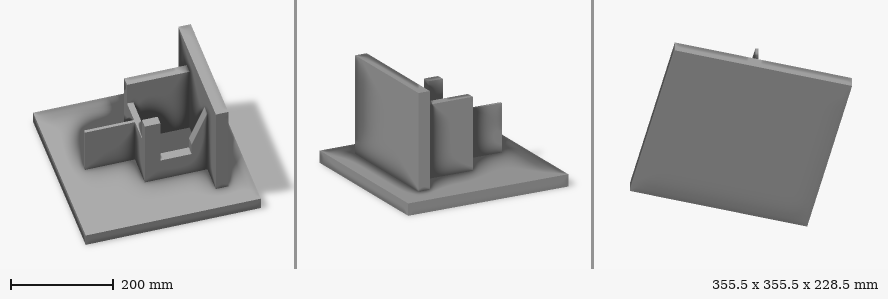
import cadquery as cq

base_side = 355.5
module = base_side / 14

base_thickness = module
wall_width = 10 * module
wall_thickness = module
wall_height = 8 * module
wall_inset = 2 * module

pocket_width = 4 * module
arm_thickness = 0.75 * module
arm_length = 5 * module
arm_height = 6 * module

panel_thickness = 0.5 * module
panel_height = 4 * module

fin_thickness = 0.25 * module
fin_length = 4 * module
fin_height = 4 * module

notch_margin = 1.25 * module
notch_floor = 2 * module
slope_foot = 3 * module

wall_front = base_side / 2 - wall_inset - wall_thickness
arm_front = wall_front - arm_length
arm_offset = (pocket_width + arm_thickness) / 2


def standing_block(width, length, height, front, center_x=0):
    """Block on top of the base, with its front face at the given Y."""
    block = cq.Workplane("XY").box(width, length, height, centered=(True, False, False))
    return block.translate((center_x, front, 0))


def notched_arm():
    """Right arm: front post, low notch and a steep slope rising to the wall."""
    post_back = arm_front + notch_margin
    slope_front = wall_front - notch_margin
    profile = [
        (arm_front, 0),
        (wall_front, 0),
        (wall_front, arm_height),
        (slope_front, slope_foot),
        (slope_front, notch_floor),
        (post_back, notch_floor),
        (post_back, arm_height),
        (arm_front, arm_height),
    ]
    arm = cq.Workplane("YZ").polyline(profile).close().extrude(arm_thickness)
    return arm.translate((pocket_width / 2, 0, 0))


base = cq.Workplane("XY").box(base_side, base_side, base_thickness, centered=(True, True, False))
base = base.translate((0, 0, -base_thickness))

wall = standing_block(wall_width, wall_thickness, wall_height, wall_front)
plain_arm = standing_block(arm_thickness, arm_length, arm_height, arm_front, -arm_offset)
front_panel = standing_block(pocket_width, panel_thickness, panel_height, arm_front)
fin = standing_block(fin_thickness, fin_length, fin_height, arm_front - fin_length)

result = base.union(wall).union(plain_arm).union(notched_arm()).union(front_panel).union(fin)